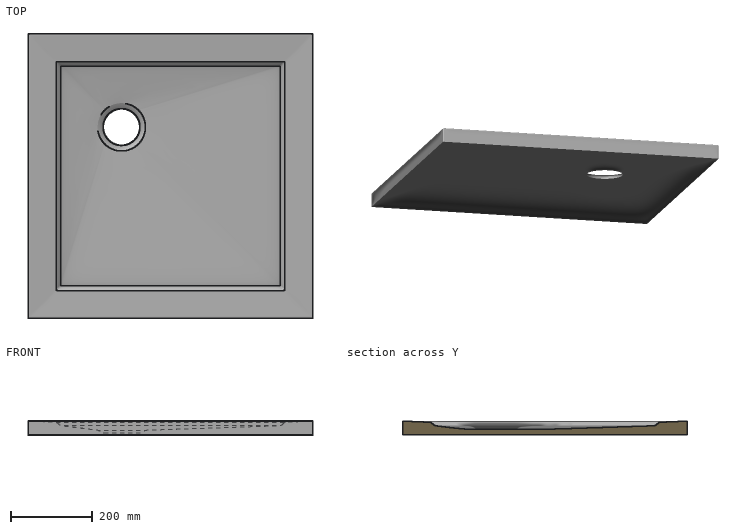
import cadquery as cq
import math

SIDE = 700.0
HEIGHT = 35.0
EDGE_ROUND = 3.0
RIM_LAND = 3.0

RIM_OUTER = SIDE - 2 * (EDGE_ROUND + RIM_LAND)
RIM_INNER = 563.0
RIM_INNER_DEPTH = 3.0

FLOOR_SIDE = 540.5
FLOOR_EDGE_DEPTH = 11.0
CORNER_ROUND = 3.5

DRAIN_X = -120.5
DRAIN_Y = 120.5
DRAIN_TOP_RADIUS = 59.0
DRAIN_BOTTOM_RADIUS = 45.0
DRAIN_TOP_DEPTH = 22.5
DRAIN_SEAT_DEPTH = 6.0
CORNER_SPREAD = 0.5


def polar(center_x, center_y, radius, angle, z):
    a = math.radians(angle)
    return cq.Vector(center_x + radius * math.cos(a), center_y + radius * math.sin(a), z)


def arc(center_x, center_y, radius, start, end, z):
    angles = (start, (start + end) / 2, end)
    return cq.Edge.makeThreePointArc(*(polar(center_x, center_y, radius, a, z) for a in angles))


def rounded_square(side, z):
    """Centred square wire with rounded corners, starting at the +X, +Y corner."""
    reach = side / 2 - CORNER_ROUND
    corners = []
    for middle in (45, 135, 225, 315):
        x = math.copysign(reach, math.cos(math.radians(middle)))
        y = math.copysign(reach, math.sin(math.radians(middle)))
        corners.append(arc(x, y, CORNER_ROUND, middle - 45, middle + 45, z))
    edges = []
    for corner, following in zip(corners, corners[1:] + corners[:1]):
        edges.append(corner)
        edges.append(cq.Edge.makeLine(corner.endPoint(), following.startPoint()))
    return cq.Wire.assembleEdges(edges)


def drain_circle(z):
    """Drain rim split into arcs that pair with the edges of a rounded square."""
    half_spread = CORNER_SPREAD / 2
    edges = []
    for middle in (45, 135, 225, 315):
        corner_end = middle + half_spread
        next_start = middle + 90 - half_spread
        for start, end in ((middle - half_spread, corner_end), (corner_end, next_start)):
            edges.append(arc(DRAIN_X, DRAIN_Y, DRAIN_TOP_RADIUS, start, end, z))
    return cq.Wire.assembleEdges(edges)


def ruled_solid(upper, lower):
    return cq.Workplane(obj=cq.Solid.makeLoft([upper, lower], True))


def make_body():
    body = cq.Workplane().box(SIDE, SIDE, HEIGHT, centered=(True, True, False))
    return body.edges("|Z or >Z").fillet(EDGE_ROUND)


def make_drain():
    """Conical drain seat above a straight hole through the bottom."""
    seat_bottom = HEIGHT - DRAIN_TOP_DEPTH - DRAIN_SEAT_DEPTH
    hole = cq.Workplane().center(DRAIN_X, DRAIN_Y).circle(DRAIN_BOTTOM_RADIUS).extrude(seat_bottom)
    seat = cq.Solid.makeCone(
        DRAIN_BOTTOM_RADIUS, DRAIN_TOP_RADIUS, DRAIN_SEAT_DEPTH, cq.Vector(DRAIN_X, DRAIN_Y, seat_bottom)
    )
    return hole.union(cq.Workplane(obj=seat))


rim_top = rounded_square(RIM_OUTER, HEIGHT)
rim_bottom = rounded_square(RIM_INNER, HEIGHT - RIM_INNER_DEPTH)
floor_edge = rounded_square(FLOOR_SIDE, HEIGHT - FLOOR_EDGE_DEPTH)
floor_drain = drain_circle(HEIGHT - DRAIN_TOP_DEPTH)

result = make_body()
result = result.cut(ruled_solid(rim_top, rim_bottom))
result = result.cut(ruled_solid(rim_bottom, floor_edge))
result = result.cut(ruled_solid(floor_edge, floor_drain))
result = result.cut(make_drain())